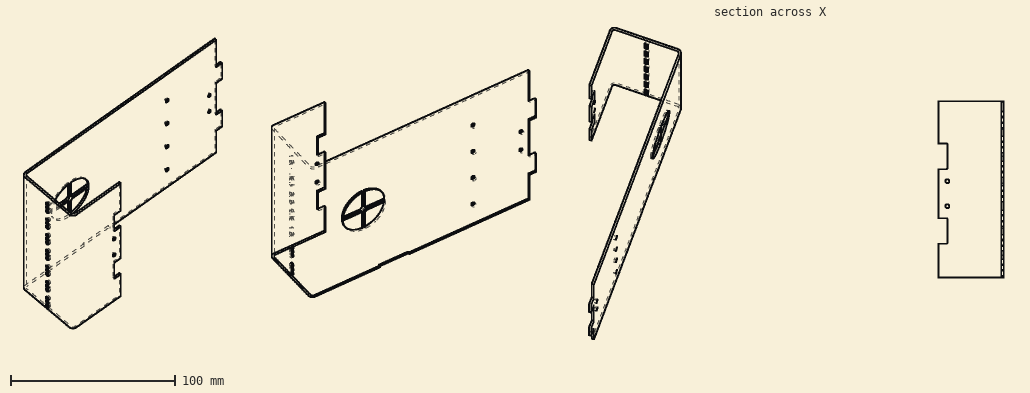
import cadquery as cq

width = 46.0
height = 107.75
thickness = 1.5
bend_radius = 3.0
tab_length = 5.0
plate_length = 159.5
flange_length = 40.0

joint_z = 51.25
tab_spacing = 45.5
tab_width = 15.25
tab_corner_radius = 0.5
notch_width = 15.5
notch_depth = 5.5
notch_corner_radius = 0.5
joint_hole_diameter = 2.3
joint_hole_spacing = 15.25
joint_hole_inset = 5.5

mount_hole_diameter = 2.5
mount_hole_count = 4
mount_hole_pitch = 22.0
mount_column_y = 119.0
mount_column_z = 49.5

web_hole_diameter = 2.5
web_group_count = 7
web_group_pitch = 15.0
web_holes_per_group = 3
web_hole_pitch = 3.5
web_holes_z = 51.25

window_diameter = 31.0
window_y = 38.75
window_z = height / 2
spoke_width = 1.5
spoke_fillet = 1.5

recess_start_y = 50.5
recess_length = 21.0
recess_depth = 1.0


def centred_positions(count, pitch, middle):
    """Evenly spaced positions about a middle value."""
    first = middle - pitch * (count - 1) / 2
    return [first + pitch * i for i in range(count)]


def box_at(x, y, z, length, depth, tall):
    """Box with its lowest corner at x, y, z."""
    return cq.Workplane("XY").box(length, depth, tall, centered=False).translate((x, y, z))


def pins_along_x(start_x, points, diameter):
    """Cylinders one sheet thickness long along +X, at (y, z) points."""
    plane = cq.Workplane("YZ", origin=(start_x, 0, 0))
    return plane.pushPoints(points).circle(diameter / 2).extrude(thickness)


def bent_sheet():
    """J-shaped sheet: long plate at X = 0, front web at Y = 0, short flange at X = width."""
    outer = box_at(0, 0, 0, width, plate_length, height)
    outer = outer.edges("|Z and <Y").fillet(bend_radius)
    inner = box_at(thickness, thickness, 0, width - 2 * thickness, plate_length, height)
    inner = inner.edges("|Z and <Y").fillet(bend_radius - thickness)
    above_flange = box_at(width - thickness, flange_length, 0, thickness, plate_length, height)
    return outer.cut(inner).cut(above_flange)


def tab(z):
    """Tab at the far end of the plate, centred at height z."""
    body = box_at(0, plate_length, z - tab_width / 2, thickness, tab_length, tab_width)
    return body.edges("|X and >Y").fillet(tab_corner_radius)


def notch(z):
    """Cutter for a notch in the flange's end edge, centred at height z."""
    body = box_at(
        width - thickness,
        flange_length - notch_depth,
        z - notch_width / 2,
        thickness,
        notch_depth,
        notch_width,
    )
    return body.edges("|X and <Y").fillet(notch_corner_radius)


def joint_holes():
    """Cutters for the screw hole pairs in the plate and in the flange."""
    heights = centred_positions(2, joint_hole_spacing, joint_z)
    plate_points = [(plate_length - joint_hole_inset, z) for z in heights]
    flange_points = [(flange_length - joint_hole_inset, z) for z in heights]
    plate_pins = pins_along_x(0, plate_points, joint_hole_diameter)
    flange_pins = pins_along_x(width - thickness, flange_points, joint_hole_diameter)
    return plate_pins.union(flange_pins)


def mount_holes():
    """Cutters for the column of mounting holes in the plate."""
    heights = centred_positions(mount_hole_count, mount_hole_pitch, mount_column_z)
    return pins_along_x(0, [(mount_column_y, z) for z in heights], mount_hole_diameter)


def web_holes():
    """Cutters for the hole groups down the middle of the front web."""
    points = []
    for group_z in centred_positions(web_group_count, web_group_pitch, web_holes_z):
        for z in centred_positions(web_holes_per_group, web_hole_pitch, group_z):
            points.append((width / 2, z))
    return cq.Workplane("XZ").pushPoints(points).circle(web_hole_diameter / 2).extrude(-thickness)


def window():
    """Cutter for the round window, leaving a cross of two filleted spokes."""
    disc = pins_along_x(0, [(window_y, window_z)], window_diameter)
    plane = cq.Workplane("YZ").center(window_y, window_z)
    cross = plane.rect(spoke_width, window_diameter).extrude(thickness)
    cross = cross.union(plane.rect(window_diameter, spoke_width).extrude(thickness))
    near_centre = cq.selectors.BoxSelector(
        (0, window_y - spoke_width, window_z - spoke_width),
        (thickness, window_y + spoke_width, window_z + spoke_width),
    )
    cross = cross.edges("|X").edges(near_centre).fillet(spoke_fillet)
    return disc.cut(cross)


result = bent_sheet()
for tab_z in centred_positions(2, tab_spacing, joint_z):
    result = result.union(tab(tab_z))
    result = result.cut(notch(tab_z))
result = result.cut(joint_holes())
result = result.cut(mount_holes())
result = result.cut(web_holes())
result = result.cut(window())
result = result.cut(box_at(0, recess_start_y, 0, thickness, recess_length, recess_depth))